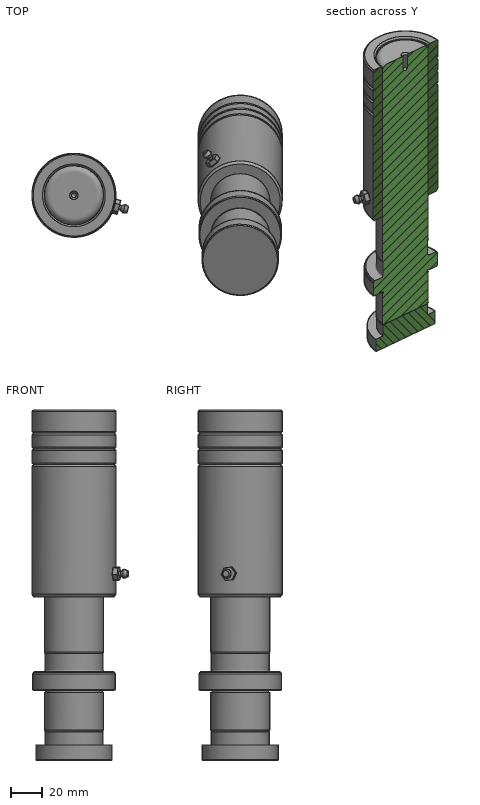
import cadquery as cq
import math

TOTAL_HEIGHT = 225.0
PILLAR_RADIUS = 19.01
NECK_RADIUS = 18.7
PILLAR_BOTTOM = 18.5
PILLAR_END_CHAMFER = 1.1
PILLAR_CROWN_RADIUS = 4.0
FLANGE_RADIUS = 26.5
FLANGE_BOTTOM = 45.0
FLANGE_TOP = 57.2
FLANGE_TOP_CHAMFER = 0.7
FLANGE_BEVEL_WIDTH = 0.5
FLANGE_BEVEL_HEIGHT = 1.0
NECK_ROOT_FILLET = 1.0
FLANGE_BOTTOM_CHAMFER = 0.7
UNDERCUT_RADIUS = 18.2
UNDERCUT_HEIGHT = 1.1
RELIEF_TOP = 69.8
RELIEF_TAPER_HEIGHT = 1.0
CENTRE_HOLE_RADIUS = 1.5
CENTRE_HOLE_DEPTH = 11.2
COUNTERSINK_RADIUS = 2.7
DRILL_POINT_ANGLE = 118.0

DISC_RADIUS = 24.5
DISC_HEIGHT = 10.1
DISC_CHAMFER = 0.7

BUSH_RADIUS = 27.0
BUSH_BOTTOM = 104.8
BUSH_TOP_CHAMFER = 1.0
BUSH_BOTTOM_CHAMFER_WIDTH = 1.4
BUSH_BOTTOM_CHAMFER_HEIGHT = 2.0
BORE_CHAMFER = 1.1
GROOVE_DEPTH = 1.1
GROOVE_COUNT = 3
GROOVE_PITCH = 10.1
TOP_GROOVE_HEIGHT = 210.2

NIPPLE_ANGLE = -15.0
NIPPLE_HEIGHT = 120.0
HEX_ACROSS_FLATS = 8.0
HEX_SEAT = 26.5
HEX_LENGTH = 3.4
HEX_SPIN = 6.0
NIPPLE_NECK_RADIUS = 1.5
NIPPLE_NECK_LENGTH = 1.4
HEAD_RADIUS = 3.0
HEAD_BACK_LENGTH = 2.0
HEAD_TIP_LENGTH = 2.5
HEAD_TIP_RADIUS = 2.0


def make_centre_hole():
    countersink_depth = COUNTERSINK_RADIUS - CENTRE_HOLE_RADIUS
    hole_bottom = TOTAL_HEIGHT - CENTRE_HOLE_DEPTH
    point_length = CENTRE_HOLE_RADIUS / math.tan(math.radians(DRILL_POINT_ANGLE / 2))
    return (
        cq.Workplane("XZ")
        .moveTo(0, TOTAL_HEIGHT)
        .lineTo(COUNTERSINK_RADIUS, TOTAL_HEIGHT)
        .lineTo(CENTRE_HOLE_RADIUS, TOTAL_HEIGHT - countersink_depth)
        .lineTo(CENTRE_HOLE_RADIUS, hole_bottom)
        .lineTo(0, hole_bottom - point_length)
        .close()
        .revolve(360, (0, 0, 0), (0, 1, 0))
    )


def make_pillar():
    flange_bottom_radius = FLANGE_RADIUS - FLANGE_BOTTOM_CHAMFER
    chamfer_radius = FLANGE_RADIUS - FLANGE_BEVEL_WIDTH
    chamfer_bottom = FLANGE_TOP - FLANGE_TOP_CHAMFER
    undercut_bottom = FLANGE_BOTTOM - UNDERCUT_HEIGHT
    pillar = (
        cq.Workplane("XZ")
        .moveTo(0, PILLAR_BOTTOM)
        .lineTo(PILLAR_RADIUS - PILLAR_END_CHAMFER, PILLAR_BOTTOM)
        .lineTo(PILLAR_RADIUS, PILLAR_BOTTOM + PILLAR_END_CHAMFER)
        .lineTo(PILLAR_RADIUS, undercut_bottom)
        .lineTo(UNDERCUT_RADIUS, undercut_bottom)
        .lineTo(UNDERCUT_RADIUS, FLANGE_BOTTOM)
        .lineTo(flange_bottom_radius, FLANGE_BOTTOM)
        .lineTo(FLANGE_RADIUS, FLANGE_BOTTOM + FLANGE_BOTTOM_CHAMFER)
        .lineTo(FLANGE_RADIUS, chamfer_bottom - FLANGE_BEVEL_HEIGHT)
        .lineTo(chamfer_radius, chamfer_bottom)
        .lineTo(chamfer_radius - FLANGE_TOP_CHAMFER, FLANGE_TOP)
        .lineTo(NECK_RADIUS + NECK_ROOT_FILLET, FLANGE_TOP)
        .radiusArc((NECK_RADIUS, FLANGE_TOP + NECK_ROOT_FILLET), NECK_ROOT_FILLET)
        .lineTo(NECK_RADIUS, RELIEF_TOP - RELIEF_TAPER_HEIGHT)
        .lineTo(PILLAR_RADIUS, RELIEF_TOP)
        .lineTo(PILLAR_RADIUS, TOTAL_HEIGHT)
        .lineTo(0, TOTAL_HEIGHT)
        .close()
        .revolve(360, (0, 0, 0), (0, 1, 0))
    )
    pillar = pillar.faces(">Z").edges().fillet(PILLAR_CROWN_RADIUS)
    return pillar.cut(make_centre_hole())


def make_clamp_disc():
    disc = cq.Workplane("XY").circle(DISC_RADIUS).extrude(DISC_HEIGHT)
    disc = disc.faces("<Z").edges().chamfer(DISC_CHAMFER)
    neck_height = PILLAR_BOTTOM - DISC_HEIGHT
    return disc.faces(">Z").workplane().circle(NECK_RADIUS).extrude(neck_height)


def make_ring_groove(height):
    return (
        cq.Workplane("XZ")
        .moveTo(BUSH_RADIUS, height - GROOVE_DEPTH)
        .lineTo(BUSH_RADIUS, height + GROOVE_DEPTH)
        .lineTo(BUSH_RADIUS - GROOVE_DEPTH, height)
        .close()
        .revolve(360, (0, 0, 0), (0, 1, 0))
    )


def make_bush():
    bush = (
        cq.Workplane("XY", origin=(0, 0, BUSH_BOTTOM))
        .circle(BUSH_RADIUS)
        .extrude(TOTAL_HEIGHT - BUSH_BOTTOM)
    )
    bush = bush.faces(">Z").edges().chamfer(BUSH_TOP_CHAMFER)
    bush = bush.faces("<Z").edges().chamfer(BUSH_BOTTOM_CHAMFER_HEIGHT, BUSH_BOTTOM_CHAMFER_WIDTH)
    bush = bush.faces(">Z").workplane().hole(2 * PILLAR_RADIUS)
    bore_rim = bush.faces(">Z").edges(cq.selectors.RadiusNthSelector(0))
    bush = bore_rim.chamfer(BORE_CHAMFER)
    for index in range(GROOVE_COUNT):
        bush = bush.cut(make_ring_groove(TOP_GROOVE_HEIGHT - index * GROOVE_PITCH))
    return bush


def make_nipple():
    hex_end = HEX_SEAT + HEX_LENGTH
    head_start = hex_end + NIPPLE_NECK_LENGTH
    head_widest = head_start + HEAD_BACK_LENGTH
    head_end = head_widest + HEAD_TIP_LENGTH
    hexagon = (
        cq.Workplane("YZ", origin=(HEX_SEAT, 0, 0))
        .polygon(6, HEX_ACROSS_FLATS / math.cos(math.pi / 6))
        .extrude(HEX_LENGTH)
        .rotate((0, 0, 0), (1, 0, 0), HEX_SPIN)
    )
    neck_and_head = (
        cq.Workplane("XY")
        .moveTo(HEX_SEAT, 0)
        .lineTo(HEX_SEAT, NIPPLE_NECK_RADIUS)
        .lineTo(head_start, NIPPLE_NECK_RADIUS)
        .lineTo(head_widest, HEAD_RADIUS)
        .lineTo(head_end, HEAD_TIP_RADIUS)
        .lineTo(head_end, 0)
        .close()
        .revolve(360, (0, 0, 0), (1, 0, 0))
    )
    return (
        hexagon.union(neck_and_head)
        .rotate((0, 0, 0), (0, 0, 1), NIPPLE_ANGLE)
        .translate((0, 0, NIPPLE_HEIGHT))
    )


pillar = make_pillar()
clamp_disc = make_clamp_disc()
nipple = make_nipple()
bush = make_bush().cut(nipple)

result = cq.Compound.makeCompound([pillar.val(), clamp_disc.val(), bush.val(), nipple.val()])